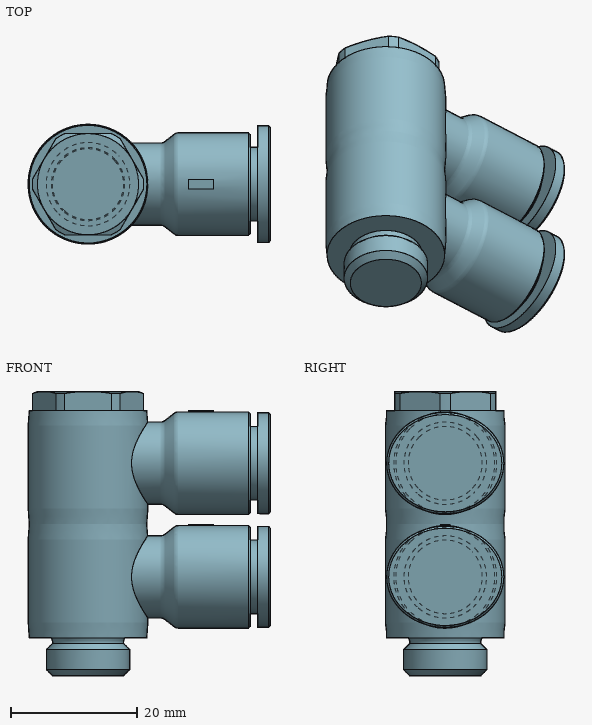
import cadquery as cq
import math

body_radius = 9.5
body_end_radius = 9.3
module_count = 2
module_height = 18.0
taper_height = 2.45

stub_radius = 6.6
stub_chamfer = 1.0
neck_radius = stub_radius - stub_chamfer
stub_height = 4.15
flare_height = 0.6
flare_width = 0.2
body_bottom = 6.0

overall_height = 45.0
across_flats = 16.0
hex_corner_radius = 8.8
hex_chamfer_drop = 0.3

port_offset = 9.68
port_neck_radius = 6.52
port_radius = 8.15
cone_start = 11.9
cone_end = 13.95
cone_fillet = 1.0
port_end = 25.7
port_end_chamfer = 0.3

sleeve_radius = 5.85
collar_start = 26.85
collar_end = 28.9
collar_width = 18.55
collar_height = 16.0
collar_chamfer = 0.3

marker_start = 15.9
marker_length = 4.0
marker_width = 1.55
marker_rise = 0.2


def revolve_about_z(profile):
    """Close a half profile drawn in the XZ plane and spin it about the Z axis."""
    return profile.close().revolve(360, (0, 0, 0), (0, 1, 0))


def make_stub():
    """Chamfered stub with an undercut neck that flares into the body."""
    neck_bottom = stub_height + stub_chamfer
    profile = (
        cq.Workplane("XZ")
        .lineTo(neck_radius, 0)
        .lineTo(stub_radius, stub_chamfer)
        .lineTo(stub_radius, stub_height)
        .lineTo(neck_radius, neck_bottom)
        .lineTo(neck_radius, body_bottom - flare_height)
        .lineTo(neck_radius + flare_width, body_bottom)
        .lineTo(0, body_bottom)
    )
    return revolve_about_z(profile)


def make_module(bottom):
    """One body drum, slightly tapered at both ends."""
    top = bottom + module_height
    profile = (
        cq.Workplane("XZ")
        .moveTo(0, bottom)
        .lineTo(body_end_radius, bottom)
        .lineTo(body_radius, bottom + taper_height)
        .lineTo(body_radius, top - taper_height)
        .lineTo(body_end_radius, top)
        .lineTo(0, top)
    )
    return revolve_about_z(profile)


def make_hex_head():
    """Hexagon with flats facing +-Y, corners turned down and top edge chamfered."""
    bottom = body_bottom + module_count * module_height
    hexagon = (
        cq.Workplane("XY", origin=(0, 0, bottom))
        .polygon(6, across_flats / math.cos(math.pi / 6))
        .extrude(overall_height - bottom)
    )
    envelope = (
        cq.Workplane("XZ")
        .moveTo(0, bottom)
        .lineTo(hex_corner_radius, bottom)
        .lineTo(hex_corner_radius, overall_height - hex_chamfer_drop)
        .lineTo(across_flats / 2, overall_height)
        .lineTo(0, overall_height)
    )
    return hexagon.intersect(revolve_about_z(envelope))


def make_port(axis_height):
    """Tube port with a blended cone, oval release collar and marker pad."""
    shell = (
        cq.Workplane("XY")
        .lineTo(0, port_neck_radius)
        .lineTo(cone_start, port_neck_radius)
        .lineTo(cone_end, port_radius)
        .lineTo(port_end - port_end_chamfer, port_radius)
        .lineTo(port_end, port_radius - port_end_chamfer)
        .lineTo(port_end, 0)
        .close()
        .revolve(360, (0, 0, 0), (1, 0, 0))
    )
    cone_zone = cq.selectors.BoxSelector(
        (cone_start - cone_fillet, -port_radius, -port_radius),
        (cone_end + cone_fillet, port_radius, port_radius),
    )
    shell = shell.edges("%CIRCLE").edges(cone_zone).fillet(cone_fillet)
    sleeve = cq.Workplane("YZ").circle(sleeve_radius).extrude(collar_start)
    collar = (
        cq.Workplane("YZ", origin=(collar_start, 0, 0))
        .ellipse(collar_width / 2, collar_height / 2)
        .extrude(collar_end - collar_start)
        .faces(">X")
        .chamfer(collar_chamfer)
    )
    marker = (
        cq.Workplane("XY", origin=(marker_start, 0, 0))
        .box(marker_length, marker_width, port_radius + marker_rise, centered=(False, True, False))
    )
    port = shell.union(sleeve).union(collar).union(marker)
    return port.translate((0, 0, axis_height))


result = make_stub().union(make_hex_head())
for index in range(module_count):
    module_bottom = body_bottom + index * module_height
    result = result.union(make_module(module_bottom))
    result = result.union(make_port(module_bottom + port_offset))